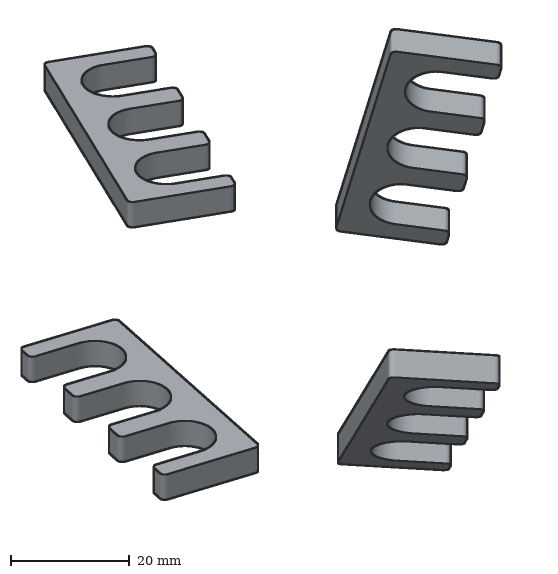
import cadquery as cq

length = 48.0
width = 19.0
thickness = 5.0
corner_radius = 0.95

slot_count = 3
slot_width = 10.5
slot_pitch = 15.0
back_wall = 4.2

slot_radius = slot_width / 2
slot_center_y = -width / 2 + back_wall + slot_radius


def slot_cutter(center_x):
    """Through-cut with a semicircular bottom and straight sides up to the +Y edge."""
    left = center_x - slot_radius
    right = center_x + slot_radius
    open_edge = width / 2
    return (
        cq.Workplane("XY")
        .moveTo(left, open_edge)
        .lineTo(left, slot_center_y)
        .threePointArc((center_x, slot_center_y - slot_radius), (right, slot_center_y))
        .lineTo(right, open_edge)
        .close()
        .extrude(thickness)
    )


plate = cq.Workplane("XY").box(length, width, thickness, centered=(True, True, False))
for index in range(slot_count):
    plate = plate.cut(slot_cutter((index - (slot_count - 1) / 2) * slot_pitch))

finger_tips = plate.faces(">Y").edges("|Z")
back_corners = plate.faces("<Y").edges("|Z")
result = plate.newObject(finger_tips.vals() + back_corners.vals()).fillet(corner_radius)